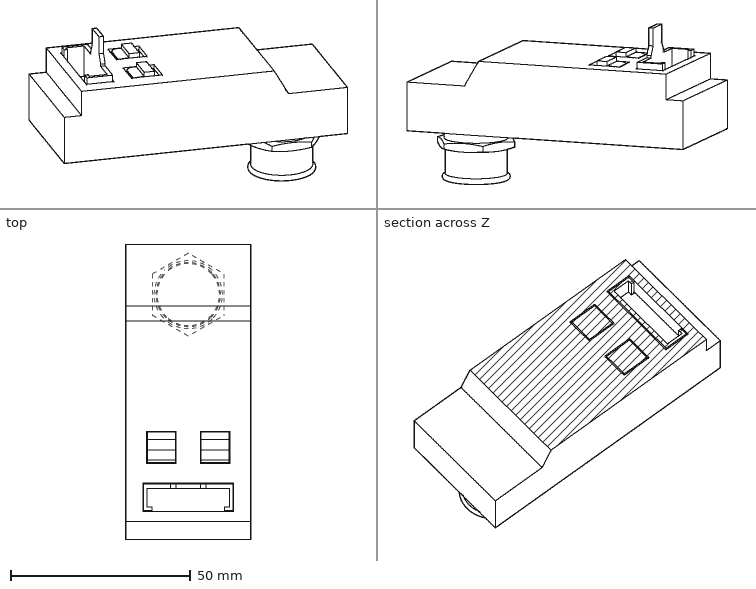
import cadquery as cq
import math


width = 35.0
length = 82.4
shoulder_height = 13.85
top_height = 21.1
front_step = 5.0
rear_shelf = 17.1
ramp_run = 4.2

clearance = 0.25

slider_spacing = 15.0
slider_width = 7.75
slider_front = 21.5
slider_length = 8.5
slider_recess_depth = 2.5
slider_base_drop = 1.0
slider_nose_ledge = 0.75
slider_nose_length = 1.2
slider_nose_radius = 1.5
button_front = 25.05
button_length = 3.0
button_rise = 1.2

collar_width = 24.9
collar_front = 8.1
collar_length = 7.5
collar_rise = 1.8
collar_side_wall = 1.0
collar_rear_wall = 1.3
collar_lip_length = 2.3
collar_recess_depth = 7.25

tongue_base_width = 9.9
tongue_tip_width = 6.75
tongue_taper_start = 2.5
tongue_taper_end = 5.0
tongue_rise = 10.05

fitting_rear_offset = 14.0
neck_diameter = 18.0
pipe_diameter = 17.4
fitting_drop = 15.7
bead_radius = 0.8
nut_across_flats = 20.0
nut_thickness = 2.5
nut_drop = 3.95
nut_corner_drop = 0.5


def box(x_size, y_start, y_size, z_start, z_end, x_centre=0.0):
    """Block centred on x_centre, spanning the given Y and Z ranges."""
    block = cq.Workplane("XY").box(x_size, y_size, z_end - z_start, centered=(True, False, False))
    return block.translate((x_centre, y_start, z_start))


def recess(insert_width, insert_front, insert_length, depth, x_centre=0.0):
    """Rectangular cutter in the top face, larger than its insert by the clearance."""
    return box(
        insert_width + 2 * clearance,
        insert_front - clearance,
        insert_length + 2 * clearance,
        top_height - depth,
        top_height,
        x_centre,
    )


def make_housing():
    ramp_foot = length - rear_shelf
    profile = (
        cq.Workplane("YZ")
        .polyline(
            [
                (0, 0),
                (length, 0),
                (length, shoulder_height),
                (ramp_foot, shoulder_height),
                (ramp_foot - ramp_run, top_height),
                (front_step, top_height),
                (front_step, shoulder_height),
                (0, shoulder_height),
            ]
        )
        .close()
    )
    return profile.extrude(width / 2, both=True)


def make_slider(x_centre):
    """Low base carrying a raised button, with a rounded nose above its front ledge."""
    floor = top_height - slider_recess_depth
    rear = slider_front + slider_length
    base_top = top_height - slider_base_drop
    button_rear = button_front + button_length
    button_top = top_height + button_rise
    nose_front = slider_front + slider_nose_ledge
    nose_rear = nose_front + slider_nose_length
    nose_drop = slider_nose_radius - math.sqrt(slider_nose_radius**2 - slider_nose_length**2)
    profile = (
        cq.Workplane("YZ")
        .moveTo(slider_front, floor)
        .lineTo(rear, floor)
        .lineTo(rear, base_top)
        .lineTo(button_rear, base_top)
        .lineTo(button_rear, button_top)
        .lineTo(button_front, button_top)
        .lineTo(button_front, top_height)
        .lineTo(nose_rear, top_height)
        .radiusArc((nose_front, top_height - nose_drop), -slider_nose_radius)
        .lineTo(nose_front, base_top)
        .lineTo(slider_front, base_top)
        .close()
    )
    return profile.extrude(slider_width / 2, both=True).translate((x_centre, 0, 0))


def make_collar():
    floor = top_height - collar_recess_depth
    rim = top_height + collar_rise
    inner_length = collar_length - collar_side_wall - collar_rear_wall
    block = box(collar_width, collar_front, collar_length, floor, rim)
    cavity = box(
        collar_width - 2 * collar_side_wall,
        collar_front + collar_side_wall,
        inner_length,
        floor,
        rim,
    )
    opening = box(
        collar_width - 2 * collar_lip_length, collar_front, collar_side_wall, floor, rim
    )
    return block.cut(cavity).cut(opening)


def make_tongue():
    rear = collar_front + collar_length
    half_base = tongue_base_width / 2
    half_tip = tongue_tip_width / 2
    profile = (
        cq.Workplane("XZ", origin=(0, rear, top_height))
        .polyline(
            [
                (-half_base, 0),
                (half_base, 0),
                (half_base, tongue_taper_start),
                (half_tip, tongue_taper_end),
                (half_tip, tongue_rise),
                (-half_tip, tongue_rise),
                (-half_tip, tongue_taper_end),
                (-half_base, tongue_taper_start),
            ]
        )
        .close()
    )
    return profile.extrude(collar_rear_wall)


def make_nut():
    """Hexagon with flats facing +X and -X, its corners bevelled on both ends."""
    flat_radius = nut_across_flats / 2
    corner_radius = flat_radius / math.cos(math.radians(30))
    hexagon = (
        cq.Workplane("XY")
        .polygon(6, 2 * corner_radius)
        .extrude(nut_thickness)
        .rotate((0, 0, 0), (0, 0, 1), 30)
    )
    bevel_envelope = (
        cq.Workplane("XZ")
        .polyline(
            [
                (0, 0),
                (flat_radius, 0),
                (corner_radius, nut_corner_drop),
                (corner_radius, nut_thickness - nut_corner_drop),
                (flat_radius, nut_thickness),
                (0, nut_thickness),
            ]
        )
        .close()
        .revolve(360, (0, 0, 0), (0, 1, 0))
    )
    return hexagon.intersect(bevel_envelope).translate((0, 0, -nut_drop - nut_thickness))


def make_fitting():
    """Neck, hexagon nut and pipe with a rounded bead at its lower end."""
    pipe_radius = pipe_diameter / 2
    neck = cq.Workplane("XY").circle(neck_diameter / 2).extrude(-nut_drop)
    pipe = cq.Workplane("XY").circle(pipe_radius).extrude(-fitting_drop)
    bead_bottom = -fitting_drop
    bead = (
        cq.Workplane("XZ")
        .moveTo(0, bead_bottom)
        .lineTo(pipe_radius, bead_bottom)
        .threePointArc(
            (pipe_radius + bead_radius, bead_bottom + bead_radius),
            (pipe_radius, bead_bottom + 2 * bead_radius),
        )
        .lineTo(0, bead_bottom + 2 * bead_radius)
        .close()
        .revolve(360, (0, 0, 0), (0, 1, 0))
    )
    fitting = neck.union(pipe).union(make_nut()).union(bead)
    return fitting.translate((0, length - fitting_rear_offset, 0))


result = make_housing()
for side in (-1, 1):
    slider_x = side * slider_spacing / 2
    slider_recess = recess(slider_width, slider_front, slider_length, slider_recess_depth, slider_x)
    result = result.cut(slider_recess).union(make_slider(slider_x))

result = result.cut(recess(collar_width, collar_front, collar_length, collar_recess_depth))
result = result.union(make_collar()).union(make_tongue()).union(make_fitting())